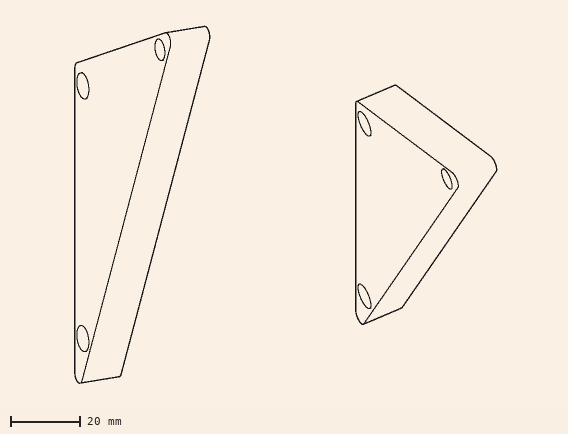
import cadquery as cq
import math

width = 60.8
thickness = 12.7
height = 123.3

corner_radius = 2.5
shoulder_height = 95.0

left_hole_diameter = 7.6
left_hole_inset = 5.2
lower_hole_height = 14.3
hole_spacing = 77.0
tip_hole_diameter = 6.3
tip_hole_x = 54.0
tip_hole_height = 116.9

corners = [
    (corner_radius, corner_radius),
    (width - corner_radius, height - corner_radius),
    (corner_radius, shoulder_height),
]


def point_on_circle(center, angle):
    """Point on a corner circle at an angle in radians."""
    return (
        center[0] + corner_radius * math.cos(angle),
        center[1] + corner_radius * math.sin(angle),
    )


def edge_normal(start, end):
    """Angle of the outward normal of a counterclockwise edge."""
    return math.atan2(end[1] - start[1], end[0] - start[0]) - math.pi / 2


def rounded_triangle():
    """Plate with tangent straight sides and rounded corners."""
    count = len(corners)
    normals = [edge_normal(corners[i], corners[(i + 1) % count]) for i in range(count)]
    outline = cq.Workplane("XZ").moveTo(*point_on_circle(corners[0], normals[0]))
    for i in range(count):
        corner = corners[(i + 1) % count]
        arrival = normals[i]
        turn = (normals[(i + 1) % count] - arrival) % (2 * math.pi)
        outline = outline.lineTo(*point_on_circle(corner, arrival))
        outline = outline.threePointArc(
            point_on_circle(corner, arrival + turn / 2),
            point_on_circle(corner, arrival + turn),
        )
    return outline.close().extrude(thickness)


def through_holes(centers, diameter):
    """Cylinders that pass through the full thickness."""
    return cq.Workplane("XZ").pushPoints(centers).circle(diameter / 2).extrude(thickness)


left_holes = [
    (left_hole_inset, lower_hole_height),
    (left_hole_inset, lower_hole_height + hole_spacing),
]

result = rounded_triangle()
result = result.cut(through_holes(left_holes, left_hole_diameter))
result = result.cut(through_holes([(tip_hole_x, tip_hole_height)], tip_hole_diameter))